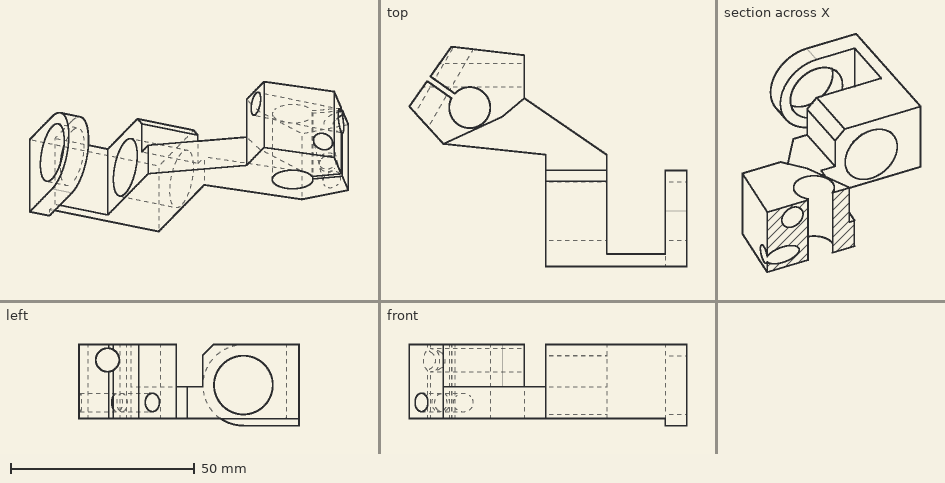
import cadquery as cq
import math

body_height = 20.25
arm_height = 8.7

block_width = 16.75
block_depth = 26.3
block_chamfer = 2.95
bore_diameter = 16.0

overall_width = 38.6
bridge_thickness = 3.5
ear_thickness = 5.9
ear_drop = 2.0
ear_radius = (body_height + ear_drop) / 2
bore_y = block_depth - ear_radius
bore_z = body_height - ear_radius

arm_root_y = 30.55
clamp_front = (-27.9, 33.5)
clamp_right = (-5.8, 46.0)

clamp_bend = (-11.8, 40.95)
clamp_back_right = (clamp_right[0], 57.8)
clamp_back = (-25.7, 60.1)
clamp_left = (overall_width - 75.8, 43.75)

clamp_bore_center = (-20.7, 43.45)
clamp_bore_diameter = 11.15
slit_width = 1.5
slit_length = 22.75
cross_hole_diameter = 6.4
cross_hole_y = 52.3
cross_hole_z = 16.0
screw_diameter = 5.0
screw_angle = math.radians(60)
screw_entry = (-33.8, 40.2)
screw_z = 4.4
cut_length = 91.0

split_face_angle = math.atan2(clamp_back[1] - clamp_left[1], clamp_back[0] - clamp_left[0])
screw_direction = cq.Vector(math.cos(screw_angle), math.sin(screw_angle), 0)


def prism(points, height):
    return cq.Workplane("XY").polyline(points).close().extrude(height)


def cylinder(start, direction, diameter, length):
    return cq.Workplane(cq.Solid.makeCylinder(diameter / 2, length, cq.Vector(*start), direction))


def make_block():
    block = cq.Workplane("XY").box(block_width, block_depth, body_height, centered=False)
    return block.faces(">Y").edges(">Z").chamfer(block_chamfer)


def make_bridge():
    return cq.Workplane("XY").box(overall_width, bridge_thickness, body_height, centered=False)


def make_ear():
    """Plate with a half-round rear end, reaching below the base plane."""
    return (
        cq.Workplane("YZ", origin=(overall_width - ear_thickness, 0, 0))
        .moveTo(0, -ear_drop)
        .lineTo(bore_y, -ear_drop)
        .threePointArc((block_depth, bore_z), (bore_y, body_height))
        .lineTo(0, body_height)
        .close()
        .extrude(ear_thickness)
    )


def make_arm():
    outline = [
        (0, 0),
        (block_width, 0),
        (block_width, arm_root_y),
        clamp_right,
        clamp_bend,
        clamp_front,
        (0, arm_root_y),
    ]
    return prism(outline, arm_height)


def make_clamp():
    outline = [clamp_front, clamp_bend, clamp_right, clamp_back_right, clamp_back, clamp_left]
    return prism(outline, body_height)


def make_slit():
    """Slot from the middle of the clamp bore out through the split face."""
    return (
        cq.Workplane("XY")
        .box(slit_length, slit_width, body_height, centered=(False, True, False))
        .rotate((0, 0, 0), (0, 0, 1), math.degrees(split_face_angle) + 90)
        .translate((*clamp_bore_center, 0))
    )


x_axis = cq.Vector(1, 0, 0)
z_axis = cq.Vector(0, 0, 1)

bearing_bore = cylinder((0, bore_y, bore_z), x_axis, bore_diameter, overall_width)
clamp_bore = cylinder((*clamp_bore_center, 0), z_axis, clamp_bore_diameter, body_height)
cross_hole = cylinder(
    (clamp_left[0], cross_hole_y, cross_hole_z), x_axis, cross_hole_diameter, cut_length
)
screw_start = cq.Vector(*screw_entry, screw_z) - screw_direction * screw_diameter
screw_hole = cylinder(screw_start.toTuple(), screw_direction, screw_diameter, cut_length)

result = make_block()
for solid in (make_bridge(), make_ear(), make_arm(), make_clamp()):
    result = result.union(solid)
for tool in (bearing_bore, clamp_bore, make_slit(), cross_hole, screw_hole):
    result = result.cut(tool)